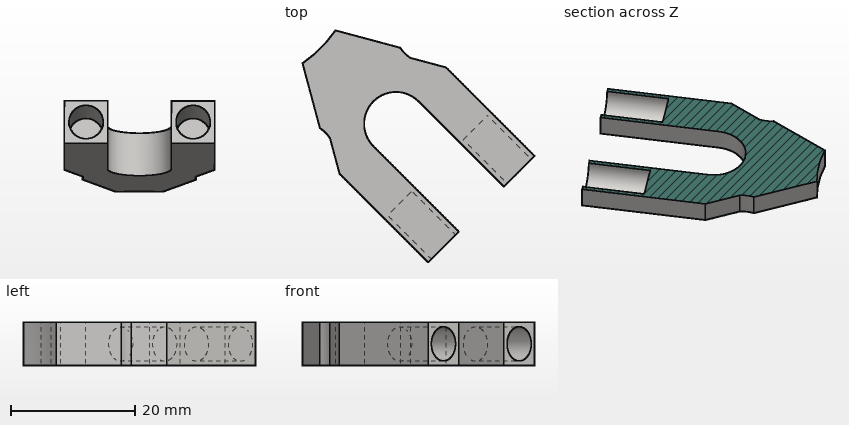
import math

import cadquery as cq

thickness = 7.0
prong_width = 7.0
slot_width = 10.2
fork_length = 36.9
slot_centre_to_end = 19.4
nose_width = 7.5
nose_hollow_depth = 0.35
flank_angle = 30.0
nose_to_step = 9.35
step_length = 2.3
step_hollow_depth = 0.13
hole_diameter = 5.5
hole_depth = 10.0
fork_turn = -45.0

prong_end = slot_centre_to_end
nose = prong_end - fork_length
step_front = nose + nose_to_step
step_back = step_front + step_length

flank_slope = math.tan(math.radians(flank_angle))
slot_radius = slot_width / 2
half_width = slot_radius + prong_width
half_nose = nose_width / 2
half_step = half_nose + nose_to_step * flank_slope
shoulder = step_back + (half_width - half_step) / flank_slope

prong_centre = slot_radius + prong_width / 2


def fork_body():
    """Plate with a hollow nose, stepped flanks and two straight prongs."""
    step_middle = (step_front + step_back) / 2
    step_floor = half_step - step_hollow_depth
    return (
        cq.Workplane("XY")
        .moveTo(nose, half_nose)
        .lineTo(step_front, half_step)
        .threePointArc((step_middle, step_floor), (step_back, half_step))
        .lineTo(shoulder, half_width)
        .lineTo(prong_end, half_width)
        .lineTo(prong_end, slot_radius)
        .lineTo(0, slot_radius)
        .threePointArc((-slot_radius, 0), (0, -slot_radius))
        .lineTo(prong_end, -slot_radius)
        .lineTo(prong_end, -half_width)
        .lineTo(shoulder, -half_width)
        .lineTo(step_back, -half_step)
        .threePointArc((step_middle, -step_floor), (step_front, -half_step))
        .lineTo(nose, -half_nose)
        .threePointArc((nose + nose_hollow_depth, 0), (nose, half_nose))
        .close()
        .extrude(thickness)
    )


def prong_hole(side):
    """Blind round hole bored along the prong from its end face."""
    return (
        cq.Workplane("YZ", origin=(prong_end, side * prong_centre, thickness / 2))
        .circle(hole_diameter / 2)
        .extrude(-hole_depth)
    )


fork = fork_body()
for side in (-1, 1):
    fork = fork.cut(prong_hole(side))

result = fork.rotate((0, 0, 0), (0, 0, 1), fork_turn)